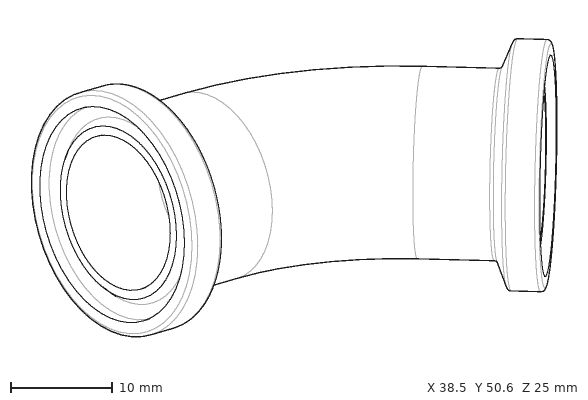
import cadquery as cq
import math


bend_angle = 45.0
bend_radius = 28.6
ferrule_length = 12.7

bore_diameter = 15.7
tube_diameter = 19.05
flange_diameter = 25.0

rim_width = 3.6
neck_height = 4.8
edge_radius = 0.4

groove_outer_diameter = 21.9
lip_diameter = 17.6
lip_depth = 0.8
groove_wall_depth = 1.2
groove_round_radius = 0.8

bore_radius = bore_diameter / 2
tube_radius = tube_diameter / 2
flange_radius = flange_diameter / 2


def revolve_about_y(profile):
    """Full turn of a half profile about the ferrule axis."""
    return profile.revolve(360, (0, 0, 0), (0, 1, 0))


def make_flange():
    """Solid flange with a tapered back and a tube stub, its rim and neck edges rounded."""
    blank = revolve_about_y(
        cq.Workplane("XY")
        .lineTo(flange_radius, 0)
        .lineTo(flange_radius, rim_width)
        .lineTo(tube_radius, neck_height)
        .lineTo(tube_radius, ferrule_length)
        .lineTo(0, ferrule_length)
        .close()
    )
    for height in (0, rim_width, neck_height):
        edge_at_height = cq.selectors.NearestToPointSelector((0, height, 0))
        blank = blank.edges("%CIRCLE").edges(edge_at_height).fillet(edge_radius)
    return blank


def make_face_recess():
    """Recess in the face: lowers the lip around the bore and forms the gasket groove.

    The groove has a straight outer wall, a round bottom tangent to that wall, and
    a sloped inner flank that runs from the round up to the edge of the lip.
    """
    outer_radius = groove_outer_diameter / 2
    lip_radius = lip_diameter / 2
    round_centre = outer_radius - groove_round_radius

    lip_to_centre_across = round_centre - lip_radius
    lip_to_centre_down = groove_wall_depth - lip_depth
    lip_to_centre = math.hypot(lip_to_centre_across, lip_to_centre_down)
    slope_to_centre = math.atan2(lip_to_centre_down, lip_to_centre_across)
    flank_angle = slope_to_centre + math.asin(groove_round_radius / lip_to_centre)
    flank_end = (
        round_centre - groove_round_radius * math.sin(flank_angle),
        groove_wall_depth + groove_round_radius * math.cos(flank_angle),
    )
    groove_bottom = (round_centre, groove_wall_depth + groove_round_radius)
    wall_end = (outer_radius, groove_wall_depth)
    return revolve_about_y(
        cq.Workplane("XY")
        .lineTo(0, lip_depth)
        .lineTo(lip_radius, lip_depth)
        .lineTo(*flank_end)
        .threePointArc(groove_bottom, wall_end)
        .lineTo(outer_radius, 0)
        .close()
    )


def make_ferrule():
    """Ferrule with its face at the origin and its tube pointing along +Y."""
    bore = revolve_about_y(cq.Workplane("XY").rect(bore_radius, ferrule_length, centered=False))
    return make_flange().cut(bore).cut(make_face_recess())


def make_bend():
    """Tube bend between the two ferrules, turning about a vertical axis on the +X side."""
    return (
        cq.Workplane("XZ", origin=(0, ferrule_length, 0))
        .circle(tube_radius)
        .circle(bore_radius)
        .revolve(bend_angle, (bend_radius, 0, 0), (bend_radius, -1, 0))
    )


leg_length = ferrule_length + bend_radius * math.tan(math.radians(bend_angle / 2))

inlet = make_ferrule()
outlet = (
    inlet.translate((0, -leg_length, 0))
    .rotate((0, 0, 0), (0, 0, 1), 180 - bend_angle)
    .translate((0, leg_length, 0))
)

result = inlet.union(make_bend()).union(outlet)